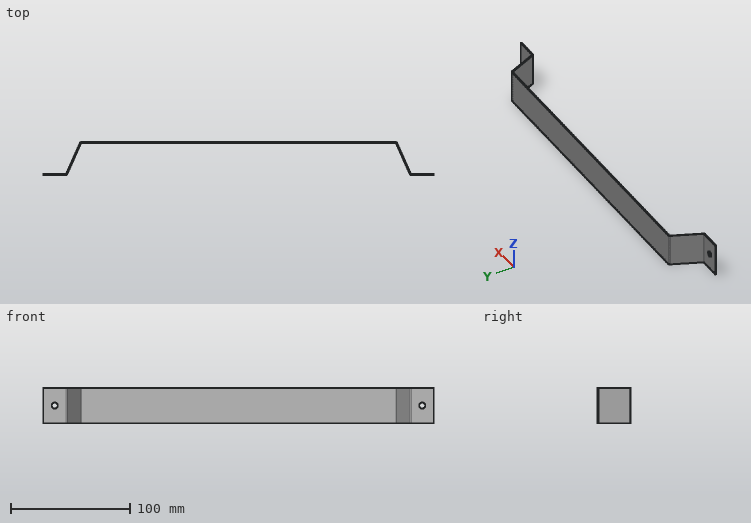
import cadquery as cq
import math

length = 328.0
depth = 28.0
width = 30.0

thickness = 1.0
inner_radius = 0.5
bend_angle = 66.0

foot_length = 19.0
hole_diameter = 5.0
hole_inset = 10.0

half_length = length / 2
front = -depth / 2
back = depth / 2
middle_radius = inner_radius + thickness / 2


def bend_travel(angle):
    """X and Y travel along the strip's middle line while it turns away from X by angle degrees."""
    turn = math.radians(angle)
    return middle_radius * math.sin(turn), middle_radius * (1 - math.cos(turn))


def left_half_path():
    """Middle line of the strip from the left free end to the centre of the span."""
    foot_y = front + thickness / 2
    span_y = back - thickness / 2
    half_bend_x, half_bend_y = bend_travel(bend_angle / 2)
    bend_x, bend_y = bend_travel(bend_angle)
    leg_rise = span_y - foot_y - 2 * bend_y
    leg_run = leg_rise / math.tan(math.radians(bend_angle))
    foot_end_x = -half_length + foot_length
    span_start_x = foot_end_x + 2 * bend_x + leg_run
    return (
        cq.Workplane("XY")
        .moveTo(-half_length, foot_y)
        .lineTo(foot_end_x, foot_y)
        .threePointArc(
            (foot_end_x + half_bend_x, foot_y + half_bend_y),
            (foot_end_x + bend_x, foot_y + bend_y),
        )
        .lineTo(span_start_x - bend_x, span_y - bend_y)
        .threePointArc(
            (span_start_x - half_bend_x, span_y - half_bend_y),
            (span_start_x, span_y),
        )
        .lineTo(0, span_y)
    )


def bent_strip():
    """Constant-thickness strip: the left half swept along its path, then mirrored."""
    section = cq.Workplane("YZ", origin=(-half_length, front + thickness / 2, 0)).rect(thickness, width)
    left_half = section.sweep(left_half_path())
    return left_half.union(left_half.mirror("YZ")).clean()


def mounting_holes():
    """Cutters for one hole through each foot, along Y."""
    hole_x = half_length - hole_inset
    return (
        cq.Workplane("XZ")
        .pushPoints([(-hole_x, 0), (hole_x, 0)])
        .circle(hole_diameter / 2)
        .extrude(depth, both=True)
    )


result = bent_strip().cut(mounting_holes())